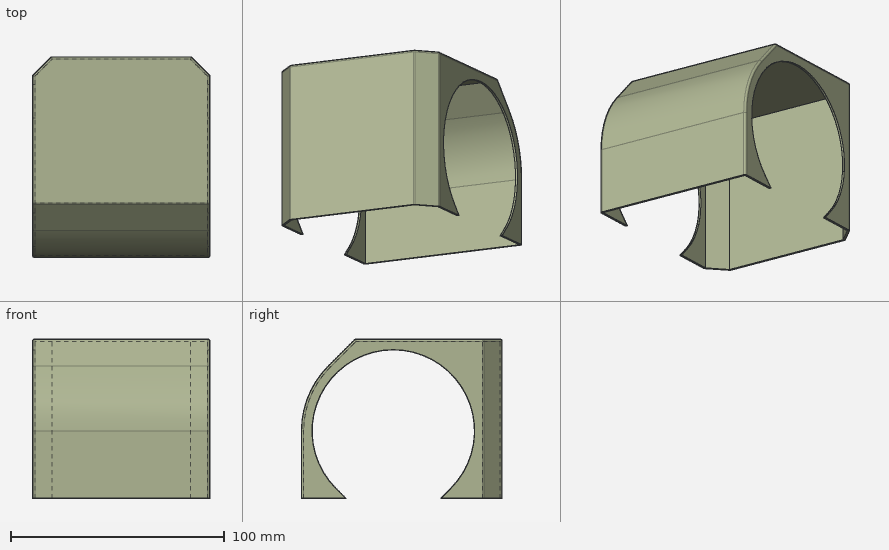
import cadquery as cq
import math

width = 83.0
depth = 94.0
height = 74.5

wall = 1.0
edge_fillet = wall
corner_bevel = 8.7

front_radius = 43.05
opening_margin = 5.1
opening_radius = front_radius - opening_margin

axis_height = height - front_radius
back_y = depth - front_radius
diagonal = math.sqrt(2)


def polar(radius, degrees):
    """Point in the YZ plane on a circle about the shared axis."""
    angle = math.radians(degrees)
    return (radius * math.cos(angle), axis_height + radius * math.sin(angle))


def make_block(inset):
    """Beveled block with every face except the underside moved inward by inset."""
    radius = front_radius - inset
    top = height - inset
    back = back_y - inset
    slope_top_y = radius * (1 - diagonal)
    block = (
        cq.Workplane("YZ")
        .moveTo(-radius, 0)
        .lineTo(-radius, axis_height)
        .threePointArc(polar(radius, 157.5), polar(radius, 135))
        .lineTo(slope_top_y, top)
        .lineTo(back, top)
        .lineTo(back, 0)
        .close()
        .extrude(width / 2 - inset, both=True)
    )
    bevel = corner_bevel - inset * (2 - diagonal)
    return block.edges("|Z and >Y").chamfer(bevel)


def round_outer_edges(body):
    """Round the side rims, the top rim and the rear corners; keep the underside sharp."""
    side_edges = body.faces("<X or >X").edges("not <Z")
    top_edges = body.faces(">Z").edges()
    rear_edges = body.faces(">Y").edges("|Z")
    return side_edges.add(top_edges).add(rear_edges).fillet(edge_fillet)


def make_side_openings():
    """Cutter through both sides, round above and flaring into 45 degree tangents below."""
    half_gap = opening_radius * diagonal - axis_height
    return (
        cq.Workplane("YZ")
        .moveTo(-half_gap, 0)
        .lineTo(*polar(opening_radius, 225))
        .threePointArc(polar(opening_radius, 90), polar(opening_radius, -45))
        .lineTo(half_gap, 0)
        .close()
        .extrude(width / 2, both=True)
    )


outer_body = round_outer_edges(make_block(0))
cavity = make_block(wall)
result = outer_body.cut(cavity).cut(make_side_openings())